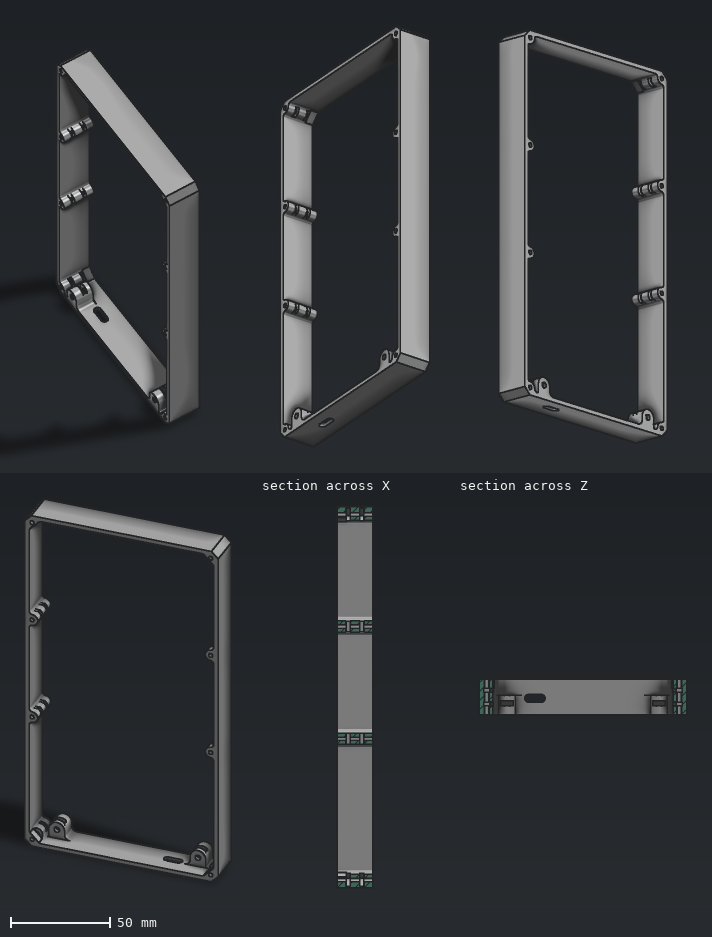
import cadquery as cq

width = 105.0
depth = 18.0
height = 192.4
wall = 2.5
corner_chamfer = 3.7

boss_inset = 4.0
boss_radius = 3.0
boss_hole_diameter = 2.1
boss_fillet = 2.0
side_boss_heights = (35.5, -21.0)

boss_slot_thickness = 2.0
boss_slot_width = 5.4
boss_slot_backing = 1.5
boss_slot_reach = 3.5
boss_slot_offset = 3.5

corner_flat_offset = 1.83
corner_flat_width = 7.0
corner_flat_length = depth / 2 - boss_slot_offset - boss_slot_thickness / 2

lug_spacing = 76.5
lug_depth = 10.0
lug_hole_height = 7.5
lug_radius = 4.2
lug_hole_diameter = 2.9
lug_inner_fillet = 2.9
lug_outer_fillet = 0.8

lug_slot_thickness = 2.5
lug_slot_width = 6.3
lug_slot_y = -3.0
lug_slot_depth = 7.0

floor_slot_length = 10.0
floor_slot_width = 3.7
floor_slot_x = -24.2
floor_slot_y = -0.5

boss_x = width / 2 - boss_inset
corner_boss_z = height / 2 - boss_inset
side_bosses = [(side * boss_x, z) for side in (-1, 1) for z in side_boss_heights]
corner_bosses = [(side * boss_x, end * corner_boss_z) for side in (-1, 1) for end in (-1, 1)]
lug_z = -height / 2 + lug_hole_height
lug_centers = [(side * lug_spacing / 2, lug_z) for side in (-1, 1)]


def front_cylinders(centers, radius, length):
    """Cylinders along Y that start at the front face."""
    front = cq.Workplane("XZ", origin=(0, -depth / 2, 0))
    return front.pushPoints(centers).circle(radius).extrude(-length)


def upright_box(x_size, y_size, z_size, x, y, z_bottom):
    """Box centered on x and y that rises from z_bottom."""
    base = cq.Workplane("XY", origin=(x, y, z_bottom))
    return base.box(x_size, y_size, z_size, centered=(True, True, False))


def lugs():
    bodies = front_cylinders(lug_centers, lug_radius, lug_depth)
    for x, z in lug_centers:
        y = (lug_depth - depth) / 2
        stem = upright_box(2 * lug_radius, lug_depth, lug_hole_height, x, y, z - lug_hole_height)
        bodies = bodies.union(stem)
    return bodies


def fillet_edges_between(body, x_min, x_max, z_min, z_max, radius):
    """Round the edges along Y whose centers lie in the given X and Z ranges."""
    margin = 0.2
    low = (x_min - margin, -depth, z_min - margin)
    high = (x_max + margin, depth, z_max + margin)
    return body.edges("|Y").edges(cq.selectors.BoxSelector(low, high)).fillet(radius)


def inner_opening():
    inner_x = width / 2 - wall
    inner_z = height / 2 - wall
    opening = cq.Workplane("XY").box(2 * inner_x, depth, 2 * inner_z)
    opening = opening.cut(front_cylinders(side_bosses + corner_bosses, boss_radius, depth))
    near_x = boss_x - boss_radius
    opening = fillet_edges_between(opening, -inner_x, -near_x, -inner_z, inner_z, boss_fillet)
    opening = fillet_edges_between(opening, near_x, inner_x, -inner_z, inner_z, boss_fillet)
    opening = opening.cut(lugs())
    lug_inner_x = lug_spacing / 2 - lug_radius
    lug_outer_x = lug_spacing / 2 + lug_radius
    floor = (-inner_z, -inner_z)
    opening = fillet_edges_between(opening, -lug_inner_x, lug_inner_x, *floor, lug_inner_fillet)
    opening = fillet_edges_between(opening, -lug_outer_x, -lug_outer_x, *floor, lug_outer_fillet)
    return fillet_edges_between(opening, lug_outer_x, lug_outer_x, *floor, lug_outer_fillet)


def toward_inside(cutter, x, z):
    """Turn a cutter that points along +X so that it points inward from the boss at (x, z)."""
    if (x, z) in corner_bosses:
        tilt = 45 if z > 0 else -45
    else:
        tilt = 0
    angle = tilt if x < 0 else 180 - tilt
    return cutter.rotate((0, 0, 0), (0, 1, 0), angle).translate((x, 0, z))


def boss_slots():
    """Pair of nut slots for a boss at the origin that opens toward +X."""
    length = boss_slot_backing + boss_slot_reach
    x = length / 2 - boss_slot_backing
    centers = cq.Workplane("XY").pushPoints([(x, y) for y in (-boss_slot_offset, boss_slot_offset)])
    return centers.box(length, boss_slot_thickness, boss_slot_width)


def corner_flat():
    """Material beyond the flat, for a corner boss at the origin that faces +X."""
    removed = 2 * boss_radius
    x = corner_flat_offset + removed / 2
    y = (depth - corner_flat_length) / 2
    return cq.Workplane("XY").box(removed, corner_flat_length, corner_flat_width).translate((x, y, 0))


def lug_slot(x, z):
    bottom = z + lug_radius - lug_slot_depth
    return upright_box(lug_slot_width, lug_slot_thickness, lug_slot_depth, x, lug_slot_y, bottom)


def floor_slot():
    bottom = cq.Workplane("XY", origin=(floor_slot_x, floor_slot_y, -height / 2))
    return bottom.slot2D(floor_slot_length, floor_slot_width).extrude(wall)


frame = cq.Workplane("XY").box(width, depth, height).edges("|Y").chamfer(corner_chamfer)
frame = frame.cut(inner_opening())
frame = frame.cut(front_cylinders(side_bosses + corner_bosses, boss_hole_diameter / 2, depth))
frame = frame.cut(front_cylinders(lug_centers, lug_hole_diameter / 2, lug_depth))
for x, z in side_bosses + corner_bosses:
    frame = frame.cut(toward_inside(boss_slots(), x, z))
for x, z in corner_bosses:
    frame = frame.cut(toward_inside(corner_flat(), x, z))
for x, z in lug_centers:
    frame = frame.cut(lug_slot(x, z))
result = frame.cut(floor_slot())